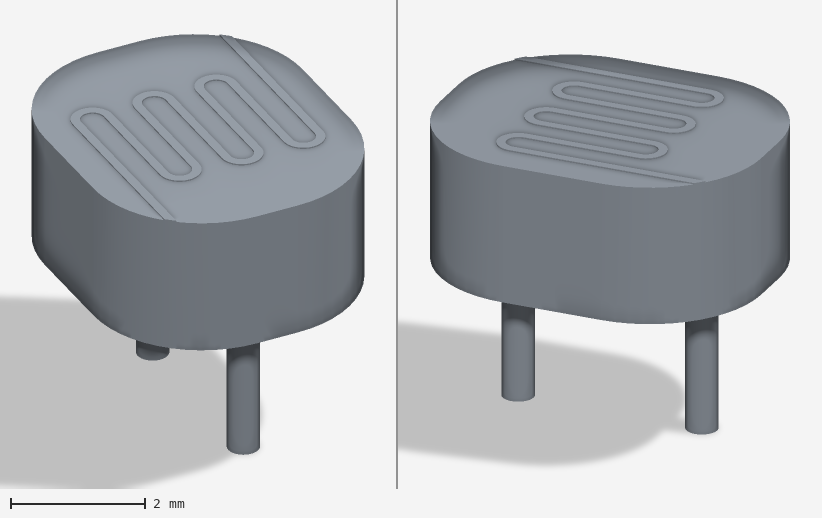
import cadquery as cq

length = 5.21
width = 4.3
height = 2.22
corner_radius = 1.805

lead_diameter = 0.5
lead_length = 2.5
lead_spacing = 2.985

track_width = 0.14
track_thickness = 0.02
row_pitch = 0.515
row_count = 7
turn_center_x = 0.92


def make_housing():
    block = cq.Workplane("XY").box(length, width, height, centered=(True, True, False))
    return block.edges("|Z").fillet(corner_radius)


def make_leads():
    lead_positions = [(-lead_spacing / 2, 0), (lead_spacing / 2, 0)]
    leads = cq.Workplane("XY").pushPoints(lead_positions)
    return leads.circle(lead_diameter / 2).extrude(-lead_length)


def make_track(housing):
    """Sweep the winding path as a flat band and trim its ends to the housing outline."""
    turn_radius = row_pitch / 2
    first_row_y = row_pitch * (row_count - 1) / 2
    row_y = first_row_y
    path = cq.Workplane("XY", origin=(0, 0, height)).moveTo(-length / 2, first_row_y)
    side = 1
    for _ in range(row_count - 1):
        turn_x = side * turn_center_x
        next_y = row_y - row_pitch
        path = path.lineTo(turn_x, row_y)
        path = path.threePointArc(
            (turn_x + side * turn_radius, row_y - turn_radius),
            (turn_x, next_y),
        )
        row_y = next_y
        side = -side
    path = path.lineTo(length / 2, row_y)

    start = (-length / 2, first_row_y, height + track_thickness / 2)
    section = cq.Workplane("YZ", origin=start).rect(track_width, track_thickness)
    band = section.sweep(path)
    trim = housing.translate((0, 0, height))
    return band.intersect(trim)


housing = make_housing()
result = housing.union(make_leads()).union(make_track(housing))